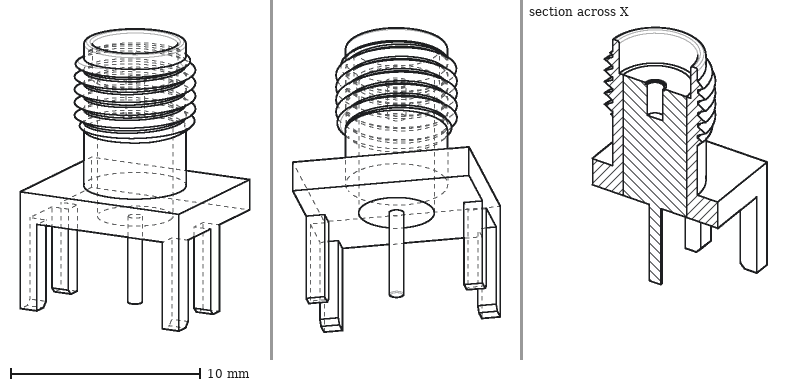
import cadquery as cq
import math

plate_length = 9.52
plate_width = 7.93
plate_bottom = 4.74
plate_top = 6.4
leg_thickness = 1.0
front_leg_depth = 1.05
middle_leg_depth = 1.0
middle_leg_front = -0.43
leg_chamfer = 0.29

overall_height = 14.28
barrel_radius = 2.7
rim_radius = 0.13
socket_radius = 2.25
socket_depth = 2.0

thread_radius = 3.2
thread_pitch = 0.705
thread_bottom = 9.47
thread_top = 13.5
thread_half_angle = 30.0
crest_height = 9.14
root_overlap = 0.05

core_radius = 2.0
pin_radius = 0.39
pin_fillet = 0.05
contact_hole_radius = 0.49
contact_hole_depth = 2.0
contact_recess_radius = 0.6
contact_recess_depth = 0.1

socket_floor = overall_height - socket_depth


def cylinder(radius, bottom, top):
    """Upright cylinder on the Z axis."""
    return cq.Workplane("XY").workplane(offset=bottom).circle(radius).extrude(top - bottom)


def leg(side, front, depth, chamfered_face):
    """Leg flush with the +X or -X plate end, chamfered at one foot edge."""
    center_x = side * (plate_length - leg_thickness) / 2
    return (
        cq.Workplane("XY")
        .box(leg_thickness, depth, plate_top, centered=(True, False, False))
        .faces(chamfered_face)
        .edges("<Z")
        .chamfer(leg_chamfer)
        .translate((center_x, front, 0))
    )


def make_flange():
    """Plate with a pair of legs at each end, chamfered on the sides that face each other."""
    flange = (
        cq.Workplane("XY")
        .workplane(offset=plate_bottom)
        .rect(plate_length, plate_width)
        .extrude(plate_top - plate_bottom)
    )
    for side in (-1, 1):
        flange = flange.union(leg(side, -plate_width / 2, front_leg_depth, ">Y"))
        flange = flange.union(leg(side, middle_leg_front, middle_leg_depth, "<Y"))
    return flange


def make_thread():
    """Helical V ridge, cut back to the barrel by a cone at each end."""
    base_radius = barrel_radius - root_overlap
    half_base = (thread_radius - base_radius) * math.tan(math.radians(thread_half_angle))
    start = crest_height - thread_pitch
    turns = math.ceil((thread_top - start) / thread_pitch)
    path = cq.Wire.makeHelix(thread_pitch, turns * thread_pitch, barrel_radius).translate(
        cq.Vector(0, 0, start)
    )
    ridge = (
        cq.Workplane("XZ")
        .polyline(
            [
                (base_radius, start - half_base),
                (thread_radius, start),
                (base_radius, start + half_base),
            ]
        )
        .close()
        .sweep(cq.Workplane(obj=path), isFrenet=True)
    )
    thread_height = thread_radius - barrel_radius
    envelope_radius = thread_radius + root_overlap
    runout = thread_height + root_overlap
    envelope = (
        cq.Workplane("XZ")
        .polyline(
            [
                (0, thread_bottom),
                (barrel_radius, thread_bottom),
                (envelope_radius, thread_bottom + runout),
                (envelope_radius, thread_top - runout),
                (barrel_radius, thread_top),
                (0, thread_top),
            ]
        )
        .close()
        .revolve()
    )
    return ridge.intersect(envelope)


def make_barrel():
    """Tube above the plate with a rounded rim and the external thread."""
    barrel = cylinder(barrel_radius, plate_top, overall_height)
    barrel = barrel.cut(cylinder(socket_radius, socket_floor, overall_height))
    barrel = barrel.faces(">Z").edges().fillet(rim_radius)
    return barrel.union(make_thread())


def make_housing():
    """Flange and barrel with a through bore for the core."""
    housing = make_flange().union(make_barrel())
    return housing.cut(cylinder(core_radius, plate_bottom, socket_floor))


def make_core():
    """Insulator flush with the socket floor, with a stepped contact hole and a solder pin."""
    pin = cylinder(pin_radius, 0, plate_bottom).faces("<Z").edges().fillet(pin_fillet)
    core = cylinder(core_radius, plate_bottom, socket_floor).union(pin)
    core = core.cut(cylinder(contact_hole_radius, socket_floor - contact_hole_depth, socket_floor))
    return core.cut(cylinder(contact_recess_radius, socket_floor - contact_recess_depth, socket_floor))


housing = make_housing()
core = make_core()

result = cq.Compound.makeCompound([housing.solids().val(), core.solids().val()])